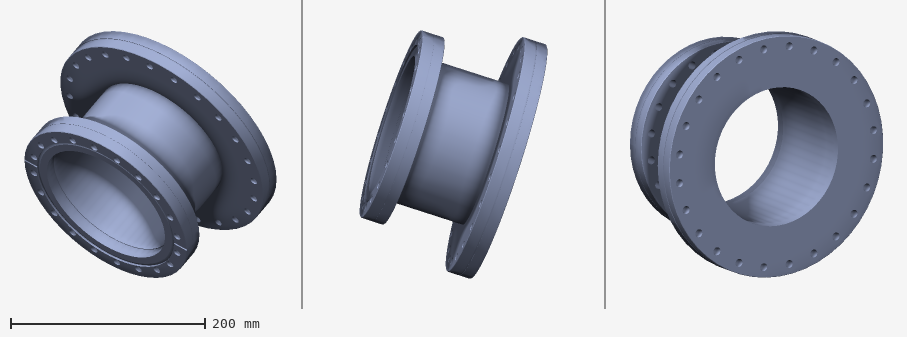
import cadquery as cq

TOTAL_LENGTH = 127.0
FRONT_Y = -TOTAL_LENGTH / 2
BACK_Y = TOTAL_LENGTH / 2

BOLT_HOLE_DIAMETER = 8.5
EDGE_CHAMFER = 0.5

LARGE_DIAMETER = 254.0
LARGE_THICKNESS = 24.6
LARGE_BOLT_CIRCLE = 232.0
LARGE_BOLT_COUNT = 24
LARGE_RIM_GROOVE_WIDTH = 1.3
LARGE_RIM_GROOVE_DEPTH = 0.5

SMALL_DIAMETER = 203.0
SMALL_THICKNESS = 24.0
SMALL_BOLT_CIRCLE = 181.0
SMALL_BOLT_COUNT = 20
SMALL_RIM_GROOVE_WIDTH = 0.8
SMALL_RIM_GROOVE_DEPTH = 0.3
LEAK_GROOVE_DIAMETER = 2.3

TUBE_OUTER_DIAMETER = 152.5
TUBE_BORE = 146.0

INSERT_DIAMETER = 171.5
INSERT_BORE = 147.5
INSERT_BACK_DEPTH = 13.2
KNIFE_TIP_DIAMETER = 165.0
KNIFE_TIP_DEPTH = 1.0
KNIFE_ROOT_DEPTH = 2.3


def revolve_about_y(points):
    """Turn a closed (radius, y) outline about the Y axis."""
    return cq.Workplane("XY").polyline(points).close().revolve(360, (0, 0, 0), (0, 1, 0))


def flange_outline(bore, diameter, front, thickness, groove_width, groove_depth):
    """Outline of a chamfered ring with a shallow groove round the middle of its rim."""
    inner = bore / 2
    rim = diameter / 2
    back = front + thickness
    middle = front + thickness / 2
    return [
        (inner, front),
        (rim - EDGE_CHAMFER, front),
        (rim, front + EDGE_CHAMFER),
        (rim, middle - groove_width / 2),
        (rim - groove_depth, middle - groove_width / 2),
        (rim - groove_depth, middle + groove_width / 2),
        (rim, middle + groove_width / 2),
        (rim, back - EDGE_CHAMFER),
        (rim - EDGE_CHAMFER, back),
        (inner, back),
    ]


def bolt_hole_cutters(circle_diameter, count, front, thickness):
    """Cylinders along Y on a bolt circle, straddling the X and Z axes."""
    step = 360 / count
    return (
        cq.Workplane("XZ", origin=(0, front, 0))
        .polarArray(circle_diameter / 2, step / 2, 360, count)
        .circle(BOLT_HOLE_DIAMETER / 2)
        .extrude(-thickness)
    )


def make_large_flange():
    """Fixed flange at the back, closely fitted round the tube."""
    front = BACK_Y - LARGE_THICKNESS
    outline = flange_outline(
        TUBE_OUTER_DIAMETER, LARGE_DIAMETER, front, LARGE_THICKNESS,
        LARGE_RIM_GROOVE_WIDTH, LARGE_RIM_GROOVE_DEPTH,
    )
    holes = bolt_hole_cutters(LARGE_BOLT_CIRCLE, LARGE_BOLT_COUNT, front, LARGE_THICKNESS)
    return revolve_about_y(outline).cut(holes)


def make_small_ring():
    """Front bolt ring, with a seat for the insert and a round leak-check groove across its face."""
    outline = flange_outline(
        TUBE_OUTER_DIAMETER, SMALL_DIAMETER, FRONT_Y, SMALL_THICKNESS,
        SMALL_RIM_GROOVE_WIDTH, SMALL_RIM_GROOVE_DEPTH,
    )
    holes = bolt_hole_cutters(SMALL_BOLT_CIRCLE, SMALL_BOLT_COUNT, FRONT_Y, SMALL_THICKNESS)
    seat = (
        cq.Workplane("XZ", origin=(0, FRONT_Y, 0))
        .circle(INSERT_DIAMETER / 2)
        .extrude(-INSERT_BACK_DEPTH)
    )
    leak_groove = (
        cq.Workplane("YZ", origin=(0, FRONT_Y, 0))
        .circle(LEAK_GROOVE_DIAMETER / 2)
        .extrude(SMALL_DIAMETER / 2, both=True)
    )
    return revolve_about_y(outline).cut(holes).cut(seat).cut(leak_groove)


def make_insert():
    """Sealing insert seated in the ring, with a cone rising from its rim to the knife edge."""
    back = FRONT_Y + INSERT_BACK_DEPTH
    return revolve_about_y([
        (INSERT_BORE / 2, FRONT_Y + KNIFE_TIP_DEPTH),
        (KNIFE_TIP_DIAMETER / 2, FRONT_Y + KNIFE_TIP_DEPTH),
        (INSERT_DIAMETER / 2, FRONT_Y + KNIFE_ROOT_DEPTH),
        (INSERT_DIAMETER / 2, back),
        (INSERT_BORE / 2, back),
    ])


def make_tube():
    """Tube from the back of the insert to the back face of the large flange."""
    start = FRONT_Y + INSERT_BACK_DEPTH
    return (
        cq.Workplane("XZ", origin=(0, start, 0))
        .circle(TUBE_OUTER_DIAMETER / 2)
        .circle(TUBE_BORE / 2)
        .extrude(start - BACK_Y)
    )


large_flange = make_large_flange()
small_ring = make_small_ring()
insert = make_insert()
tube = make_tube()

result = cq.Compound.makeCompound([large_flange.val(), small_ring.val(), insert.val(), tube.val()])